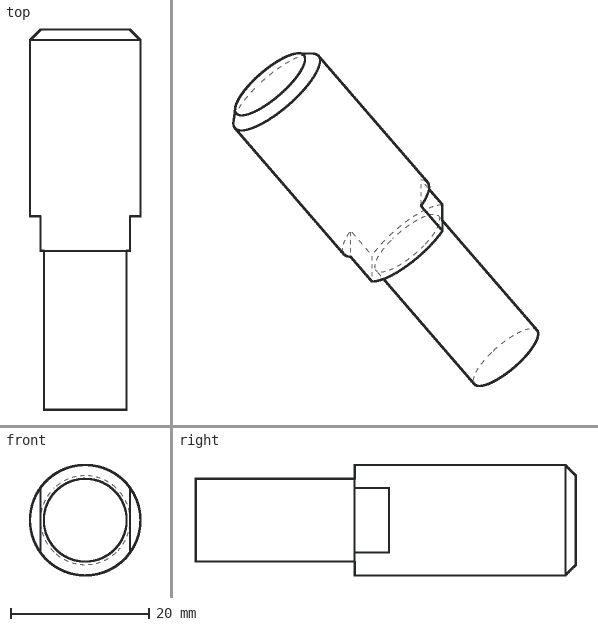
import cadquery as cq

total_length = 55.0
body_diameter = 16.0
stud_diameter = 12.0
stud_length = 23.0
end_chamfer = 1.55
across_flats = 13.0
flat_length = 5.0

body_length = total_length - stud_length


def cylinder_along_y(diameter, start_y, length):
    """Solid cylinder on the Y axis, growing toward +Y from start_y."""
    plane = cq.Plane(origin=(0, start_y, 0), xDir=(1, 0, 0), normal=(0, 1, 0))
    return cq.Workplane(plane).circle(diameter / 2).extrude(length)


def flat_cutter(side):
    """Block that removes the body outside one wrench flat (side is -1 or 1)."""
    cutter_width = body_diameter
    center_x = side * (across_flats + cutter_width) / 2
    return (
        cq.Workplane("XY")
        .box(cutter_width, flat_length, body_diameter)
        .translate((center_x, flat_length / 2, 0))
    )


body = cylinder_along_y(body_diameter, 0, body_length).faces(">Y").chamfer(end_chamfer)

for side in (-1, 1):
    body = body.cut(flat_cutter(side))

stud = cylinder_along_y(stud_diameter, -stud_length, stud_length)

result = body.union(stud)